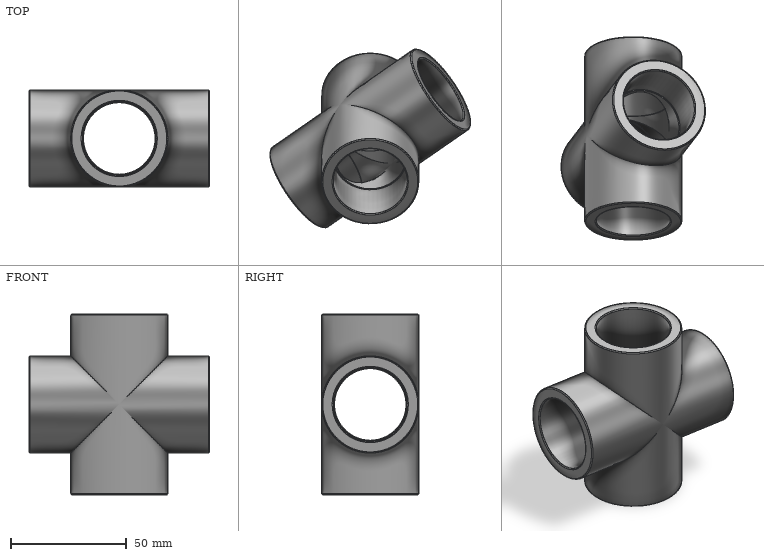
import cadquery as cq

length = 78.0
outer_diameter = 42.0
bore_diameter = 31.0
socket_diameter = 32.0
socket_depth = 22.0
rim_chamfer = 0.5
mouth_chamfer = 0.5

half_length = length / 2
socket_floor = half_length - socket_depth
outer_radius = outer_diameter / 2
bore_radius = bore_diameter / 2
socket_radius = socket_diameter / 2
mouth_radius = socket_radius + mouth_chamfer


def revolve_about_z(upper_profile):
    """Revolve a half profile, from the middle plane to the end, and mirror it in XY."""
    outline = [(0, 0)] + upper_profile + [(0, half_length)]
    half = cq.Workplane("XZ").polyline(outline).close().revolve(360, (0, 0), (0, 1))
    return half.union(half.mirror("XY"))


def cross(run):
    """Join a run along Z with the same run turned along X."""
    return run.union(run.rotate((0, 0, 0), (0, 1, 0), 90))


pipe = revolve_about_z([
    (outer_radius, 0),
    (outer_radius, half_length - rim_chamfer),
    (outer_radius - rim_chamfer, half_length),
])

cavity = revolve_about_z([
    (bore_radius, 0),
    (bore_radius, socket_floor),
    (socket_radius, socket_floor),
    (socket_radius, half_length - mouth_chamfer),
    (mouth_radius, half_length),
])

result = cross(pipe).cut(cross(cavity))